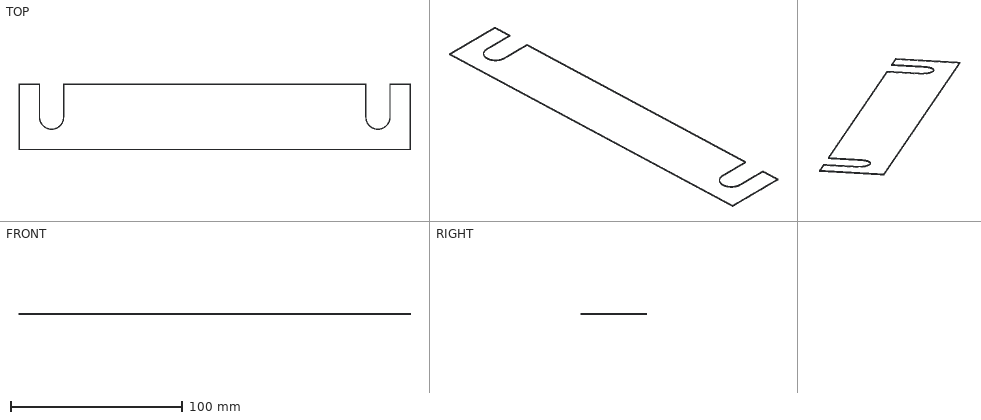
import cadquery as cq

length = 228.5
width = 38.2
thickness = 0.5

slot_width = 14.0
slot_spacing = 190.7
slot_end_to_front_edge = 12.0

slot_radius = slot_width / 2
slot_center_y = -width / 2 + slot_end_to_front_edge + slot_radius


def open_slot(center_x):
    """Cutter for a slot with a round end, open through the back edge."""
    return (
        cq.Workplane("XY")
        .moveTo(center_x - slot_radius, width / 2)
        .lineTo(center_x - slot_radius, slot_center_y)
        .threePointArc(
            (center_x, slot_center_y - slot_radius),
            (center_x + slot_radius, slot_center_y),
        )
        .lineTo(center_x + slot_radius, width / 2)
        .close()
        .extrude(thickness)
    )


result = cq.Workplane("XY").box(length, width, thickness, centered=(True, True, False))
for side in (-1, 1):
    result = result.cut(open_slot(side * slot_spacing / 2))